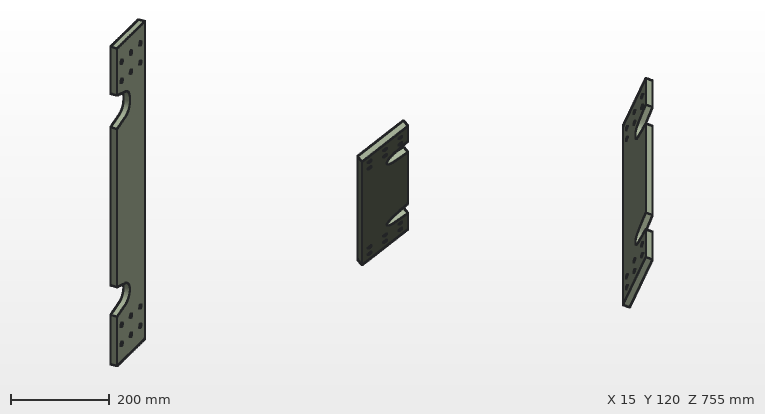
import cadquery as cq
import math

thickness = 15.0
width = 120.0
height = 755.0

hole_diameter = 9.0
hole_pitch_y = 40.0
hole_pitch_z = 45.0
hole_columns = 3
hole_rows = 2
outer_row_inset = 42.0

notch_depth = 55.0
notch_radius = 26.5
notch_flank_angle = math.radians(15)
upper_notch_inset = 152.0
upper_notch_floor = 9.0
lower_notch_inset = 152.5
lower_notch_floor = 0.0


def make_plate():
    return cq.Workplane("XY").box(thickness, width, height)


def make_holes(grid_center_z):
    return (
        cq.Workplane("YZ")
        .center(0, grid_center_z)
        .rarray(hole_pitch_y, hole_pitch_z, hole_columns, hole_rows)
        .circle(hole_diameter / 2)
        .extrude(thickness, both=True)
    )


def make_notch(center_z, floor_length):
    """Notch with tangent corner arcs, joined by a straight floor if its length is not zero."""
    edge_y = -width / 2
    floor_y = edge_y + notch_depth
    arc_y = floor_y - notch_radius
    half_floor = floor_length / 2

    def arc_point(angle):
        y = arc_y + notch_radius * math.cos(angle)
        z = half_floor + notch_radius * math.sin(angle)
        return y, z

    tangent_angle = math.pi / 2 - notch_flank_angle
    tangent_y, tangent_z = arc_point(tangent_angle)
    middle_y, middle_z = arc_point(tangent_angle / 2)
    mouth_z = tangent_z + (tangent_y - edge_y) * math.tan(notch_flank_angle)

    profile = (
        cq.Workplane("YZ")
        .center(0, center_z)
        .moveTo(edge_y, mouth_z)
        .lineTo(tangent_y, tangent_z)
        .threePointArc((middle_y, middle_z), (floor_y, half_floor))
    )
    if floor_length > 0:
        profile = profile.lineTo(floor_y, -half_floor)
    return (
        profile.threePointArc((middle_y, -middle_z), (tangent_y, -tangent_z))
        .lineTo(edge_y, -mouth_z)
        .close()
        .extrude(thickness, both=True)
    )


result = make_plate()

grid_center_z = height / 2 - outer_row_inset - hole_pitch_z / 2
for end in (1, -1):
    result = result.cut(make_holes(end * grid_center_z))

result = result.cut(make_notch(height / 2 - upper_notch_inset, upper_notch_floor))
result = result.cut(make_notch(-height / 2 + lower_notch_inset, lower_notch_floor))